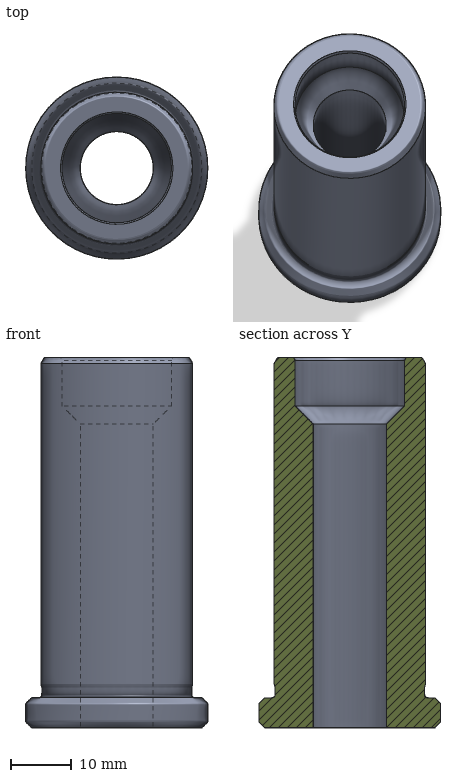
import cadquery as cq
import math

total_height = 61.0
collar_height = 5.0
collar_radius = 30.0 / 2
shaft_radius = 25.0 / 2

collar_chamfer = 1.0
collar_corner_round = 0.4

groove_radius = 24.7 / 2
groove_width = 2.2
groove_top = collar_height + groove_width
groove_taper_height = 0.55
groove_fillet = 0.4
groove_face_depth = 0.1
groove_face_reach = 0.3
groove_face_radius = shaft_radius + groove_face_reach

tip_chamfer_height = 1.0
tip_chamfer_angle = 30.0
tip_chamfer_width = tip_chamfer_height * math.tan(math.radians(tip_chamfer_angle))
tip_round = 0.4

bore_radius = 18.0 / 2
bore_depth = 8.0
bore_chamfer_width = 0.25
bore_chamfer_height = 0.5
hole_radius = 12.0 / 2

seat_height = bore_radius - hole_radius


def polygon_solid(points):
    """Revolve a closed (radius, height) outline about the Z axis."""
    return cq.Workplane("XZ").polyline(points).close().revolve(360, (0, 0), (0, 1))


def round_circle(body, radius, height, size):
    """Fillet the circular edge with the given radius and height."""
    reach = 0.01
    ring = cq.selectors.BoxSelector(
        (-radius - reach, -radius - reach, height - reach),
        (radius + reach, radius + reach, height + reach),
        boundingbox=True,
    )
    return body.edges(ring).fillet(size)


def make_body():
    """Collar, relief groove and shaft, all solid, with their edges rounded."""
    collar_flat = collar_radius - collar_chamfer
    groove_floor = collar_height - groove_face_depth
    tip_bottom = total_height - tip_chamfer_height
    tip_radius = shaft_radius - tip_chamfer_width
    body = polygon_solid([
        (0, 0),
        (collar_flat, 0),
        (collar_radius, collar_chamfer),
        (collar_radius, collar_height - collar_chamfer),
        (collar_flat, collar_height),
        (groove_face_radius, collar_height),
        (groove_radius, groove_floor),
        (groove_radius, groove_top - groove_taper_height),
        (shaft_radius, groove_top),
        (shaft_radius, tip_bottom),
        (tip_radius, total_height),
        (0, total_height),
    ])
    collar_corners = [
        (collar_radius, collar_chamfer),
        (collar_radius, collar_height - collar_chamfer),
        (collar_flat, collar_height),
    ]
    for radius, height in collar_corners:
        body = round_circle(body, radius, height, collar_corner_round)
    body = round_circle(body, groove_radius, groove_floor, groove_fillet)
    return round_circle(body, tip_radius, total_height, tip_round)


def make_bore():
    """Stepped cutter for the bore, from the bottom face up to the tip."""
    seat_top = total_height - bore_depth
    return polygon_solid([
        (0, 0),
        (hole_radius, 0),
        (hole_radius, seat_top - seat_height),
        (bore_radius, seat_top),
        (bore_radius, total_height - bore_chamfer_height),
        (bore_radius + bore_chamfer_width, total_height),
        (0, total_height),
    ])


result = make_body().cut(make_bore())